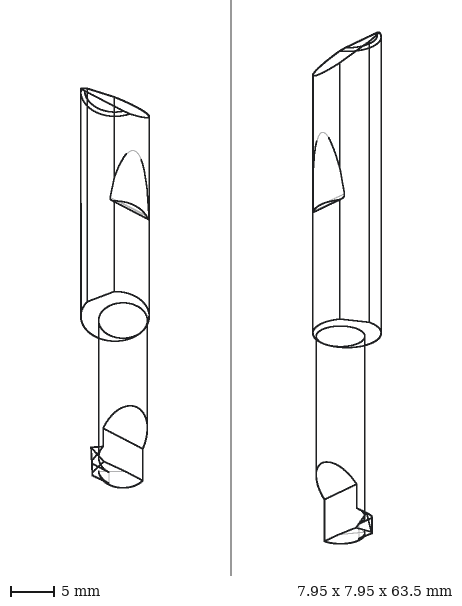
import cadquery as cq
import math

TOTAL_LENGTH = 63.5
SHANK_DIAMETER = 7.95
SHANK_RADIUS = SHANK_DIAMETER / 2
SHANK_BOTTOM = 25.4

END_CHAMFER_RADIAL = 0.45
END_CHAMFER_HEIGHT = 0.25
BEVEL_START_Y = -2.15
BEVEL_ANGLE = 45.0

FLAT_DISTANCE = 3.55
FLAT_NORMAL_ANGLE = 153.0

NOTCH_BOTTOM = 40.65
NOTCH_TOP = 49.85
NOTCH_DEPTH = 1.4
NOTCH_FILLET = 0.75

NECK_RADIUS = 2.825
NECK_CENTER_X = SHANK_RADIUS - NECK_RADIUS
NECK_BOTTOM = 0.2
RELIEF_TOP = 5.5

TIP_POINT_X = -3.4
TIP_POINT_Z = 1.3
TIP_SHOULDER_X = -1.6
TIP_TOP = 2.55
TIP_FRONT_X = -1.2
TIP_CLEARANCE = 0.25


def make_shank():
    """Cylindrical shank with a shallow conical edge at its upper end."""
    half_profile = [
        (0, SHANK_BOTTOM),
        (SHANK_RADIUS, SHANK_BOTTOM),
        (SHANK_RADIUS, TOTAL_LENGTH - END_CHAMFER_HEIGHT),
        (SHANK_RADIUS - END_CHAMFER_RADIAL, TOTAL_LENGTH),
        (0, TOTAL_LENGTH),
    ]
    return cq.Workplane("XZ").polyline(half_profile).close().revolve(360, (0, 0), (0, 1))


def extrude_across(outline):
    """Extrude a (Y, Z) outline past both sides of the shank along X."""
    return cq.Workplane("YZ").polyline(outline).close().extrude(SHANK_DIAMETER, both=True)


def make_end_bevel():
    """Material above the sloping plane at the upper end."""
    run = SHANK_DIAMETER
    drop = run * math.tan(math.radians(BEVEL_ANGLE))
    return extrude_across([
        (BEVEL_START_Y, TOTAL_LENGTH),
        (BEVEL_START_Y + run, TOTAL_LENGTH - drop),
        (BEVEL_START_Y + run, TOTAL_LENGTH),
    ])


def make_side_flat():
    """Material outside the long flat."""
    return (
        cq.Workplane("XY")
        .box(SHANK_RADIUS, SHANK_DIAMETER, TOTAL_LENGTH, centered=(False, True, False))
        .translate((FLAT_DISTANCE, 0, SHANK_BOTTOM))
        .rotate((0, 0, 0), (0, 0, 1), FLAT_NORMAL_ANGLE)
    )


def make_notch():
    """Wedge-shaped notch with a rounded lower inside corner."""
    floor_y = SHANK_RADIUS - NOTCH_DEPTH
    wedge = extrude_across([
        (SHANK_RADIUS, NOTCH_BOTTOM),
        (floor_y, NOTCH_BOTTOM),
        (SHANK_RADIUS, NOTCH_TOP),
    ])
    inside_corner = cq.selectors.NearestToPointSelector((0, floor_y, NOTCH_BOTTOM))
    return wedge.edges("|X").edges(inside_corner).fillet(NOTCH_FILLET)


def make_neck():
    """Eccentric neck cut back to its -Y half above the tip."""
    neck = (
        cq.Workplane("XY", origin=(NECK_CENTER_X, 0, NECK_BOTTOM))
        .circle(NECK_RADIUS)
        .extrude(SHANK_BOTTOM - NECK_BOTTOM)
    )
    relief = extrude_across([
        (0, 0),
        (0, RELIEF_TOP),
        (NECK_RADIUS, RELIEF_TOP + NECK_RADIUS),
        (NECK_RADIUS, 0),
    ])
    return neck.cut(relief)


def make_tip():
    """Pointed tip whose flanks taper away behind the cutting face."""
    taper_angle = math.degrees(math.atan(TIP_CLEARANCE / NECK_RADIUS))
    inner_x = NECK_CENTER_X + TIP_CLEARANCE
    cutting_face = [
        (TIP_POINT_X, TIP_POINT_Z),
        (TIP_SHOULDER_X, TIP_TOP),
        (inner_x, TIP_TOP),
        (inner_x, NECK_BOTTOM),
        (TIP_SHOULDER_X, 0),
    ]
    body = cq.Workplane("XZ").polyline(cutting_face).close().extrude(NECK_RADIUS, taper=taper_angle)
    plan = [
        (TIP_POINT_X, 0),
        (inner_x, 0),
        (inner_x, -NECK_RADIUS),
        (TIP_FRONT_X, -NECK_RADIUS),
    ]
    return body.intersect(cq.Workplane("XY").polyline(plan).close().extrude(TIP_TOP))


shank = make_shank().cut(make_end_bevel()).cut(make_side_flat()).cut(make_notch())
result = shank.union(make_neck()).union(make_tip())